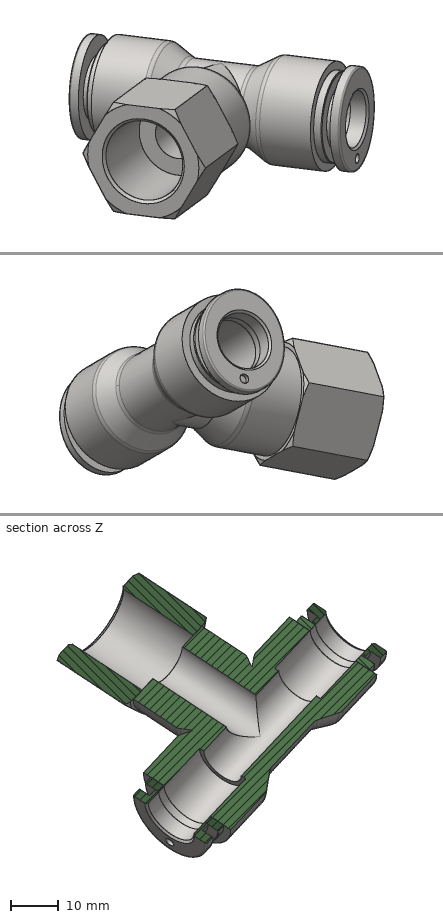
import cadquery as cq
import math


barrel_radius = 23.25 / 2
waist_radius = 17.3 / 2
taper_angle = 30
taper_end = 12.7
taper_length = (barrel_radius - waist_radius) / math.tan(math.radians(taper_angle))
taper_start = taper_end - taper_length
taper_fillet = 2.0
run_half_length = 24.7
branch_length = 24.6
flow_bore_diameter = 10.0
tube_bore_diameter = 12.2

collar_diameter = 19.6
collar_length = 1.85
collar_edge_chamfer = 0.2

overall_half_length = 30.6
sleeve_start = run_half_length + collar_length
sleeve_neck_diameter = 14.2
flange_thickness = 2.2
flange_half_width = 9.8
flange_half_height = 11.25
flange_fillet = 0.35
sleeve_bore_chamfer = 0.5
mark_diameter = 2.0
mark_depth = 1.0
mark_offset = 8.55

nut_across_flats = 24.0
nut_across_corners = nut_across_flats / math.cos(math.radians(30))
overall_depth = 55.3
nut_length = overall_depth - barrel_radius - branch_length
nut_face_radius = 12.55
nut_bevel_depth = 0.55
nut_bore_diameter = 17.3
nut_bore_chamfer = 0.6


def cylinder_along_x(diameter, start, end):
    return cq.Workplane("YZ").workplane(offset=start).circle(diameter / 2).extrude(end - start)


def make_run():
    """Solid of revolution about X: two barrels joined by a tapered waist."""
    profile = (
        cq.Workplane("XY")
        .moveTo(-run_half_length, 0)
        .lineTo(-run_half_length, barrel_radius)
        .lineTo(-taper_end, barrel_radius)
        .lineTo(-taper_start, waist_radius)
        .lineTo(taper_start, waist_radius)
        .lineTo(taper_end, barrel_radius)
        .lineTo(run_half_length, barrel_radius)
        .lineTo(run_half_length, 0)
        .close()
    )
    run = profile.revolve(360, (0, 0, 0), (1, 0, 0))
    return run.edges("%CIRCLE").edges("not(<X or >X)").fillet(taper_fillet)


def make_branch():
    """Solid of revolution about Y, from the run axis out to the nut."""
    profile = (
        cq.Workplane("XY")
        .lineTo(waist_radius, 0)
        .lineTo(waist_radius, -taper_start)
        .lineTo(barrel_radius, -taper_end)
        .lineTo(barrel_radius, -branch_length)
        .lineTo(0, -branch_length)
        .close()
    )
    branch = profile.revolve(360, (0, 0, 0), (0, 1, 0))
    shoulder = branch.edges("%CIRCLE").edges(">>Y[1]")
    return shoulder.fillet(taper_fillet)


def make_housing():
    housing = make_run().union(make_branch())
    run_bore = cylinder_along_x(flow_bore_diameter, -run_half_length, run_half_length)
    branch_bore = cq.Workplane("XZ").circle(flow_bore_diameter / 2).extrude(branch_length)
    housing = housing.cut(run_bore).cut(branch_bore)
    housing = housing.cut(cylinder_along_x(tube_bore_diameter, taper_end, run_half_length))
    return housing.cut(cylinder_along_x(tube_bore_diameter, -run_half_length, -taper_end))


def make_collar():
    """Ring on the +X end face of the housing."""
    collar = cylinder_along_x(collar_diameter, run_half_length, sleeve_start)
    collar = collar.faces(">X").edges().chamfer(collar_edge_chamfer)
    return collar.cut(cylinder_along_x(tube_bore_diameter, run_half_length, sleeve_start))


def make_sleeve():
    """Release sleeve on the +X collar: round neck and oval flange with a round mark."""
    flange = (
        cq.Workplane("YZ")
        .workplane(offset=overall_half_length - flange_thickness)
        .ellipse(flange_half_width, flange_half_height)
        .extrude(flange_thickness)
    )
    neck = cylinder_along_x(sleeve_neck_diameter, sleeve_start, overall_half_length)
    bore = cylinder_along_x(tube_bore_diameter, sleeve_start, overall_half_length)
    sleeve = flange.union(neck).cut(bore)
    sleeve = sleeve.faces(">X").edges("%ELLIPSE").fillet(flange_fillet)
    sleeve = sleeve.faces(">X").edges("%CIRCLE").chamfer(sleeve_bore_chamfer)
    mark = cylinder_along_x(mark_diameter, overall_half_length - mark_depth, overall_half_length)
    return sleeve.cut(mark.translate((0, 0, -mark_offset)))


def make_nut():
    """Hex ring on the end of the branch, bevelled at both ends."""
    nut = cq.Workplane("XZ").polygon(6, nut_across_corners).extrude(nut_length)
    corner_radius = nut_across_corners / 2
    envelope = (
        cq.Workplane("XY")
        .lineTo(nut_face_radius, 0)
        .lineTo(corner_radius, -nut_bevel_depth)
        .lineTo(corner_radius, nut_bevel_depth - nut_length)
        .lineTo(nut_face_radius, -nut_length)
        .lineTo(0, -nut_length)
        .close()
        .revolve(360, (0, 0, 0), (0, 1, 0))
    )
    bore = cq.Workplane("XZ").circle(nut_bore_diameter / 2).extrude(nut_length)
    nut = nut.intersect(envelope).cut(bore)
    bore_rim = nut.faces("<Y").edges("%CIRCLE").edges(cq.selectors.RadiusNthSelector(0))
    nut = bore_rim.chamfer(nut_bore_chamfer)
    return nut.translate((0, -branch_length, 0))


housing = make_housing()
nut = make_nut()
collars = []
sleeves = []
for angle in (0, 180):
    collars.append(make_collar().rotate((0, 0, 0), (0, 0, 1), angle).val())
    sleeves.append(make_sleeve().rotate((0, 0, 0), (0, 0, 1), angle).val())

result = cq.Compound.makeCompound([housing.val(), nut.val(), *collars, *sleeves])